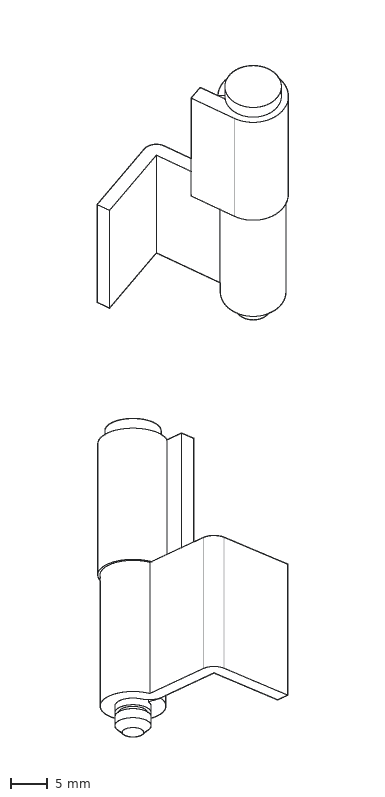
import cadquery as cq
import math


PIN_RADIUS = 2.5
PIN_HEIGHT = 46.0
HEAD_RADIUS = 3.85
HEAD_HEIGHT = 2.0
TIP_CHAMFER = 1.0
GROOVE_RADIUS = 2.0
GROOVE_BOTTOM = 2.4
GROOVE_TOP = 3.0

LOWER_BOTTOM = 4.0
KNUCKLE_HEIGHT = (PIN_HEIGHT - HEAD_HEIGHT - LOWER_BOTTOM) / 2
UPPER_BOTTOM = LOWER_BOTTOM + KNUCKLE_HEIGHT

UPPER_RADIUS = 4.85
UPPER_THICKNESS = UPPER_RADIUS - PIN_RADIUS
FLAP_END_X = -7.0
UPPER_CURL_END = 210.7

LOWER_RADIUS = 4.5
LOWER_THICKNESS = LOWER_RADIUS - PIN_RADIUS
PLATE_LEFT_X = -17.0
PLATE_FRONT_Y = -13.0
NECK_X = -4.8
LOWER_CURL_END = 194.0


def polar(radius, degrees):
    """Point at a radius and angle about the hinge axis."""
    angle = math.radians(degrees)
    return (radius * math.cos(angle), radius * math.sin(angle))


def arc_midpoint(center, radius, start, end):
    """Middle of the shorter arc from start to end about a center."""
    dx = (start[0] + end[0]) / 2 - center[0]
    dy = (start[1] + end[1]) / 2 - center[1]
    reach = radius / math.hypot(dx, dy)
    return (center[0] + dx * reach, center[1] + dy * reach)


def make_pin():
    """Headed pin with a retaining groove and a chamfered tip."""
    head_bottom = PIN_HEIGHT - HEAD_HEIGHT
    profile = [
        (0, 0),
        (PIN_RADIUS - TIP_CHAMFER, 0),
        (PIN_RADIUS, TIP_CHAMFER),
        (PIN_RADIUS, GROOVE_BOTTOM),
        (GROOVE_RADIUS, GROOVE_BOTTOM),
        (GROOVE_RADIUS, GROOVE_TOP),
        (PIN_RADIUS, GROOVE_TOP),
        (PIN_RADIUS, head_bottom),
        (HEAD_RADIUS, head_bottom),
        (HEAD_RADIUS, PIN_HEIGHT),
        (0, PIN_HEIGHT),
    ]
    return cq.Workplane("XZ").polyline(profile).close().revolve(360, (0, 0, 0), (0, 1, 0))


def make_upper_leaf():
    """Flap rolled around the pin, with a narrow wedge gap at the end of the curl."""
    middle = (UPPER_CURL_END - 90) / 2
    flap_back_y = -UPPER_RADIUS + UPPER_THICKNESS
    return (
        cq.Workplane("XY", origin=(0, 0, UPPER_BOTTOM))
        .moveTo(FLAP_END_X, -UPPER_RADIUS)
        .lineTo(0, -UPPER_RADIUS)
        .threePointArc(polar(UPPER_RADIUS, middle), polar(UPPER_RADIUS, UPPER_CURL_END))
        .lineTo(*polar(PIN_RADIUS, UPPER_CURL_END))
        .threePointArc(polar(PIN_RADIUS, middle), (0, -PIN_RADIUS))
        .lineTo(FLAP_END_X, flap_back_y)
        .close()
        .extrude(KNUCKLE_HEIGHT)
    )


def make_lower_leaf():
    """Angle plate whose back flange bends through a neck into a rolled knuckle."""
    back_y = LOWER_THICKNESS / 2
    front_y = -back_y
    inner_x = PLATE_LEFT_X + LOWER_THICKNESS

    neck_radius = (NECK_X**2 + back_y**2 - PIN_RADIUS**2) / (2 * (PIN_RADIUS + back_y))
    neck_center = (NECK_X, front_y + neck_radius)
    neck_angle = math.degrees(math.atan2(neck_center[1], neck_center[0]))
    bore_start = polar(PIN_RADIUS, neck_angle)
    outer_start = (-math.sqrt(LOWER_RADIUS**2 - back_y**2), back_y)
    neck_front = (NECK_X, front_y)

    middle = (neck_angle + LOWER_CURL_END - 360) / 2

    corner_center = (inner_x, front_y)
    corner_start = (PLATE_LEFT_X, front_y)
    corner_end = (inner_x, back_y)

    return (
        cq.Workplane("XY", origin=(0, 0, LOWER_BOTTOM))
        .moveTo(PLATE_LEFT_X, PLATE_FRONT_Y)
        .lineTo(*corner_start)
        .threePointArc(arc_midpoint(corner_center, LOWER_THICKNESS, corner_start, corner_end), corner_end)
        .lineTo(*outer_start)
        .threePointArc(polar(LOWER_RADIUS, middle), polar(LOWER_RADIUS, LOWER_CURL_END))
        .lineTo(*polar(PIN_RADIUS, LOWER_CURL_END))
        .threePointArc(polar(PIN_RADIUS, middle), bore_start)
        .threePointArc(arc_midpoint(neck_center, neck_radius, bore_start, neck_front), neck_front)
        .lineTo(inner_x, front_y)
        .lineTo(inner_x, PLATE_FRONT_Y)
        .close()
        .extrude(KNUCKLE_HEIGHT)
    )


pin = make_pin()
upper_leaf = make_upper_leaf()
lower_leaf = make_lower_leaf()

result = cq.Compound.makeCompound([pin.val(), upper_leaf.val(), lower_leaf.val()])